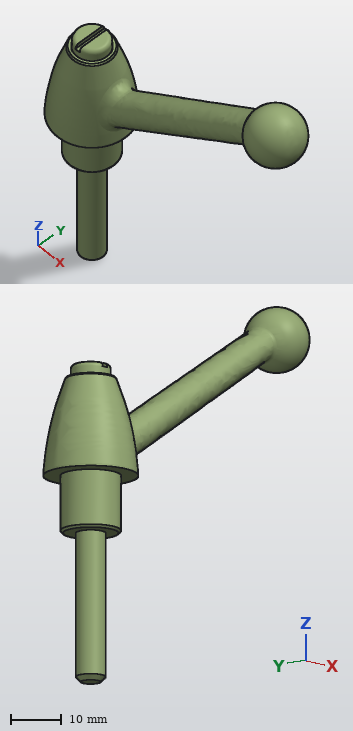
import cadquery as cq
import math

collar_bottom = 30.1
hub_bottom = 41.7
hub_band_height = 0.5
hub_top = 61.5
screw_top = 64.1
total_height = 84.0

pin_diameter = 6.0
pin_chamfer = 1.0
collar_diameter = 12.0
collar_chamfer = 0.5

hub_radius = 9.4
hub_top_radius = 5.1
hub_middle_radius = 7.65
hub_middle_height = 53.4
hub_top_chamfer = 0.3

screw_diameter = 8.0
screw_edge_radius = 1.0
recess_diameter = 8.2
recess_depth = 0.5
slot_width = 1.2
slot_depth = 1.0

total_length = 68.4
ball_radius = 6.55
ball_x = total_length - hub_radius - ball_radius
ball_z = total_height - ball_radius

arm_angle = 33.6
arm_start_x = 3.4
arm_start_z = 46.4
arm_length = 55.4
arm_half_width = 4.1
arm_start_half_height = 3.8
arm_end_half_height = 3.4
hub_fillet = 2.1
ball_fillet = 0.8


def cylinder(diameter, bottom, top):
    return cq.Workplane("XY").workplane(offset=bottom).circle(diameter / 2).extrude(top - bottom)


def make_hub():
    band_top = hub_bottom + hub_band_height
    return (
        cq.Workplane("XZ")
        .moveTo(0, hub_bottom)
        .lineTo(hub_radius, hub_bottom)
        .lineTo(hub_radius, band_top)
        .threePointArc((hub_middle_radius, hub_middle_height), (hub_top_radius, hub_top - hub_top_chamfer))
        .lineTo(hub_top_radius - hub_top_chamfer, hub_top)
        .lineTo(0, hub_top)
        .close()
        .revolve(360, (0, 0), (0, 1))
        .rotate((0, 0, 0), (0, 0, 1), 180)
    )


def make_arm():
    angle = math.radians(arm_angle)
    start_plane = cq.Plane(
        origin=(arm_start_x, 0, arm_start_z),
        xDir=(0, 1, 0),
        normal=(math.cos(angle), 0, math.sin(angle)),
    )
    return (
        cq.Workplane(start_plane)
        .ellipse(arm_half_width, arm_start_half_height)
        .workplane(offset=arm_length)
        .ellipse(arm_half_width, arm_end_half_height)
        .loft(ruled=True)
    )


def blend_joint(body, x_min, x_max, radius):
    """Fillet the arm's joint edge whose centre lies between two X positions."""
    box = cq.selectors.BoxSelector(
        (x_min, -hub_radius, hub_bottom + 2 * hub_band_height),
        (x_max, hub_radius, total_height),
    )
    return body.edges(box).edges("not %CIRCLE").edges("not %LINE").fillet(radius)


def make_screw():
    screw = cylinder(screw_diameter, hub_top - recess_depth, screw_top)
    screw = screw.faces(">Z").edges().fillet(screw_edge_radius)
    slot = (
        cq.Workplane("XY")
        .workplane(offset=screw_top - slot_depth)
        .rect(slot_width, screw_diameter)
        .extrude(slot_depth)
    )
    return screw.cut(slot)


ball = cq.Workplane("XY").sphere(ball_radius).translate((ball_x, 0, ball_z))
pin = cylinder(pin_diameter, 0, collar_bottom).faces("<Z").chamfer(pin_chamfer)
collar = cylinder(collar_diameter, collar_bottom, hub_bottom).faces("<Z").chamfer(collar_chamfer)
recess = cylinder(recess_diameter, hub_top - recess_depth, hub_top)

body = make_hub().union(make_arm()).union(ball)
body = blend_joint(body, hub_top_radius, 2 * hub_radius, hub_fillet)
body = blend_joint(body, ball_x - 2 * ball_radius, ball_x, ball_fillet)
result = body.union(collar).union(pin).cut(recess).union(make_screw())